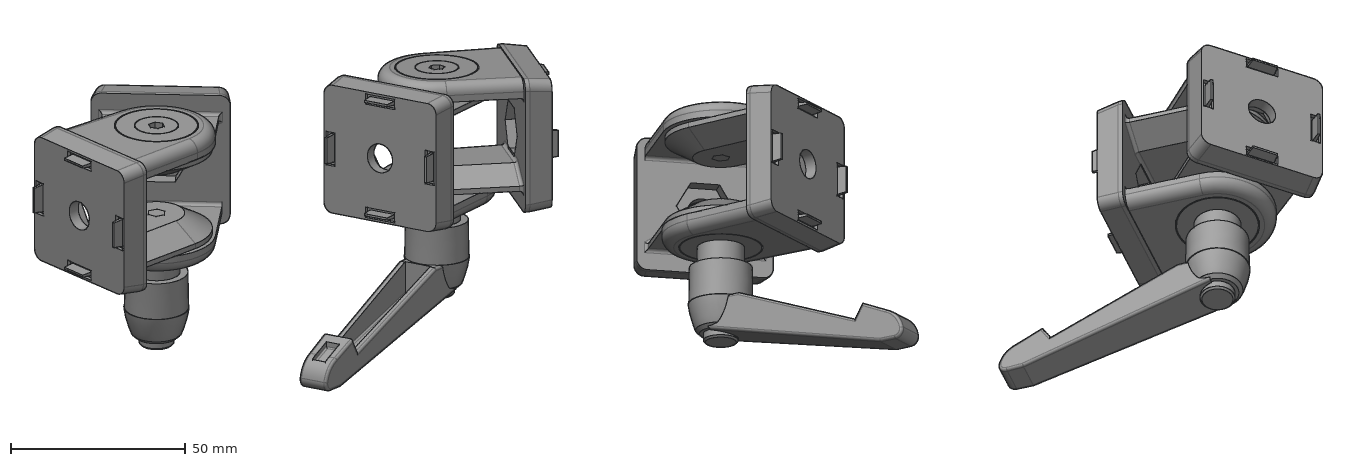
import cadquery as cq
import math

fold_angle = 225.0
lever_angle = fold_angle - 90.0

plate_size = 40.0
plate_inner_y = -21.8
plate_outer_y = -29.8
plate_lip = 1.3
plate_draft = 6.8
plate_corner_radius = 3.0
plate_hole_radius = 4.3
nut_pocket_circumradius = 8.4
nut_pocket_depth = 4.5

tab_offset = 17.0
tab_pocket_length = 10.0
tab_pocket_width = 3.1
tab_pocket_depth = 1.2
tab_root_length = 8.4
tab_root_width = 1.1
tab_tip_length = 7.8
tab_tip_width = 0.65
tab_reach = 2.2

arm_radius = 16.9
arm_flare = 2.0
arm_top_z = 19.7
arm_bottom_z = 14.25
arm_edge_radius = 3.4
root_fillet = 1.05
margin = 0.1

inner_radius = 16.0
inner_flat_radius = 8.1
inner_back_z = 13.8
inner_shoulder_z = 12.3
inner_face_z = 7.6

recess_radius = 12.05
recess_depth = 2.4
cap_radius = 11.7
cap_bore_radius = 6.3
head_radius = 6.15
shank_radius = 3.2
tip_hex_circumradius = 2.7
socket_circumradius = 2.35
socket_depth = 3.2
hex_angle = fold_angle - lever_angle
column_radius = 6.8

hub_top_z = -25.9
hub_top_radius = 9.1
hub_rim_z = -36.9
hub_neck_radius = 9.2
hub_rim_radius = 9.4
hub_bulge = (8.65, -40.7)
hub_low = (7.3, -44.75)
hub_bottom = (6.15, -45.8)
button_radius = 5.0
button_height = 2.6
button_chamfer = 0.6

grip_half_width = 6.6
grip_taper = 0.031
grip_tip = (65.0, -57.5)
grip_top_start = (10.1, hub_rim_z)
notch_foot = (49.0, -52.1)
block_top = (51.55, -47.75)
block_shoulder = (59.8, -51.4)
nose_bulge = (63.45, -54.1)
nose_bottom = (62.5, -60.5)
grip_bottom_bend = (57.5, -60.5)
grip_bottom_start = (0.0, -46.1)
grip_edge_radius = 0.8

channel_start = 9.7
channel_end = 50.7
channel_wall = 2.0
channel_floor = 2.1
block_pocket_start = 54.4
block_pocket_end = 61.75
block_pocket_width = 4.45
block_pocket_depth = 1.8
floor_radius = 0.5


def hexagon(circumradius, angle, z_low, z_high):
    """Hexagonal prism on the hinge axis with a corner at the given angle."""
    prism = cq.Workplane("XY").workplane(offset=z_low)
    prism = prism.polygon(6, 2 * circumradius).extrude(z_high - z_low)
    return prism.rotate((0, 0, 0), (0, 0, 1), angle)


def cylinder(radius, z_low, z_high):
    return cq.Workplane("XY").workplane(offset=z_low).circle(radius).extrude(z_high - z_low)


def to_folded_pose(body):
    """Flip a body end for end on the hinge axis and turn it to the folded side."""
    flipped = body.rotate((0, 0, 0), (0, 1, 0), 180)
    return flipped.rotate((0, 0, 0), (0, 0, 1), fold_angle)


def rounded_square(size):
    return cq.Sketch().rect(size, size).vertices().fillet(plate_corner_radius)


def base_plate():
    """Square plate with a straight rim, then drafted sides of constant corner radius."""
    draft_length = plate_inner_y - plate_lip - plate_outer_y
    outer_size = plate_size - 2 * draft_length * math.tan(math.radians(plate_draft))
    rim = cq.Workplane("XZ", origin=(0, plate_inner_y, 0)).placeSketch(rounded_square(plate_size))
    drafted = cq.Workplane("XZ", origin=(0, plate_inner_y - plate_lip, 0)).placeSketch(
        rounded_square(plate_size),
        rounded_square(outer_size).moved(cq.Location(cq.Vector(0, 0, draft_length))),
    )
    return rim.extrude(plate_lip).union(drafted.loft())


def spring_tab():
    """Tapered tab on the +Z side, rooted in the floor of its pocket."""
    height = tab_pocket_depth + tab_reach
    return (
        cq.Workplane("XZ", origin=(0, plate_outer_y + tab_pocket_depth, tab_offset))
        .rect(tab_root_length, tab_root_width)
        .workplane(offset=height)
        .rect(tab_tip_length, tab_tip_width)
        .loft()
    )


def tab_pocket():
    return (
        cq.Workplane("XZ", origin=(0, plate_outer_y + tab_pocket_depth, tab_offset))
        .rect(tab_pocket_length, tab_pocket_width)
        .extrude(tab_pocket_depth)
    )


def arm_outline(radius, z):
    """Round-ended strip from the hinge axis to the plate, widening slightly on the way."""
    flare = math.radians(arm_flare)
    tangent_x = radius * math.cos(flare)
    tangent_y = radius * math.sin(flare)
    root_x = tangent_x + (tangent_y - plate_inner_y) * math.tan(flare)
    return (
        cq.Workplane("XY").workplane(offset=z)
        .moveTo(-root_x, plate_inner_y)
        .lineTo(-tangent_x, tangent_y)
        .threePointArc((0, radius), (tangent_x, tangent_y))
        .lineTo(root_x, plate_inner_y)
        .close()
    )


def outer_arm():
    """Round-ended arm with a rounded outer edge."""
    arm = arm_outline(arm_radius, arm_bottom_z).extrude(arm_top_z - arm_bottom_z)
    return arm.edges(">Z").edges("not <Y").fillet(arm_edge_radius)


def inner_arm():
    """Flat arm whose inner side narrows to a smaller round-ended face."""
    rim = arm_outline(inner_radius, -inner_back_z).extrude(inner_back_z - inner_shoulder_z)
    shoulder_wires = [
        arm_outline(inner_radius, -inner_shoulder_z).val(),
        arm_outline(inner_flat_radius, -inner_face_z).val(),
    ]
    return rim.union(cq.Workplane(cq.Solid.makeLoft(shoulder_wires, True)))


def root_edges(low_z, high_z):
    """Edges where an arm within a height range meets the plate; the plate's rim lies further out."""
    reach = plate_size / 2 - margin
    return cq.selectors.BoxSelector(
        (-reach, plate_inner_y - margin, low_z - margin),
        (reach, plate_inner_y + margin, high_z + margin),
    )


def bracket():
    body = base_plate().union(outer_arm()).union(inner_arm())
    body = body.edges(root_edges(-inner_back_z, -inner_face_z)).fillet(root_fillet)
    body = body.edges(root_edges(arm_bottom_z, arm_bottom_z)).fillet(root_fillet)
    plate_hole = (
        cq.Workplane("XZ", origin=(0, plate_inner_y, 0))
        .circle(plate_hole_radius)
        .extrude(plate_inner_y - plate_outer_y)
    )
    nut_pocket = (
        cq.Workplane("XZ", origin=(0, plate_inner_y, 0))
        .polygon(6, 2 * nut_pocket_circumradius)
        .extrude(nut_pocket_depth)
    )
    body = body.cut(plate_hole).cut(nut_pocket)
    for turn in range(4):
        angle = 90 * turn
        body = body.cut(tab_pocket().rotate((0, 0, 0), (0, 1, 0), angle))
        body = body.union(spring_tab().rotate((0, 0, 0), (0, 1, 0), angle))
    body = body.cut(cylinder(recess_radius, arm_top_z - recess_depth, arm_top_z))
    body = body.cut(cylinder(shank_radius, arm_bottom_z, arm_top_z))
    return body.cut(hexagon(tip_hex_circumradius, lever_angle, -inner_back_z, -inner_face_z))


def clamp_shank():
    """Round shank through an outer arm, ending in a hexagon flush with the inner arm."""
    shank = cylinder(shank_radius, inner_back_z, arm_top_z - recess_depth)
    tip = hexagon(tip_hex_circumradius, hex_angle, inner_face_z, inner_back_z)
    return shank.union(tip)


def cap():
    seat_z = arm_top_z - recess_depth
    return cylinder(cap_radius, seat_z, arm_top_z).cut(cylinder(cap_bore_radius, seat_z, arm_top_z))


def screw():
    head = cylinder(head_radius, arm_top_z - recess_depth, arm_top_z)
    socket = hexagon(socket_circumradius, hex_angle, arm_top_z - socket_depth, arm_top_z)
    return clamp_shank().union(head).cut(socket)


def stud():
    """Clamp stud with a flange in the bracket recess and a column carrying the lever."""
    flange = cylinder(cap_radius, arm_top_z - recess_depth, arm_top_z)
    column = cylinder(column_radius, arm_top_z, -hub_top_z)
    return to_folded_pose(clamp_shank().union(flange).union(column))


def hub():
    return (
        cq.Workplane("XZ")
        .moveTo(0, hub_top_z)
        .lineTo(hub_top_radius, hub_top_z)
        .lineTo(hub_neck_radius, hub_rim_z)
        .lineTo(hub_rim_radius, hub_rim_z)
        .threePointArc(hub_bulge, hub_low)
        .lineTo(*hub_bottom)
        .lineTo(0, hub_bottom[1])
        .close()
        .revolve(360, (0, 0), (0, 1))
    )


def tapered_plan(inset, start, end):
    """Tall block following the tapering sides of the grip, moved in by an inset."""
    def side(reach):
        return grip_half_width - inset - grip_taper * reach

    return (
        cq.Workplane("XY").workplane(offset=2 * grip_tip[1])
        .polyline([(start, -side(start)), (end, -side(end)), (end, side(end)), (start, side(start))])
        .close()
        .extrude(-2 * grip_tip[1])
    )


def grip():
    side_profile = (
        cq.Workplane("XZ")
        .moveTo(0, hub_rim_z)
        .lineTo(*grip_top_start)
        .lineTo(*notch_foot)
        .lineTo(*block_top)
        .lineTo(*block_shoulder)
        .threePointArc(nose_bulge, grip_tip)
        .tangentArcPoint(nose_bottom, relative=False)
        .lineTo(*grip_bottom_bend)
        .lineTo(*grip_bottom_start)
        .close()
        .extrude(grip_half_width, both=True)
    )
    body = side_profile.intersect(tapered_plan(0, 0, grip_tip[0] + 0.8))
    return body.faces(">Y or <Y").edges("not <X").fillet(grip_edge_radius)


def channel():
    """Trough along the top of the grip, with its floor parallel to the underside."""
    slope = (grip_bottom_bend[1] - grip_bottom_start[1]) / grip_bottom_bend[0]

    def floor_z(reach):
        return grip_bottom_start[1] + channel_floor + slope * reach

    above_floor = (
        cq.Workplane("XZ")
        .polyline([
            (channel_start, floor_z(channel_start)),
            (channel_end, floor_z(channel_end)),
            (channel_end, 0),
            (channel_start, 0),
        ])
        .close()
        .extrude(grip_half_width, both=True)
    )
    trough = above_floor.intersect(tapered_plan(channel_wall, channel_start, channel_end))
    return trough.faces("<Z").edges().fillet(floor_radius)


def block_pocket():
    """Shallow pocket in the raised end of the grip, parallel to its sloping top."""
    slope = (block_shoulder[1] - block_top[1]) / (block_shoulder[0] - block_top[0])

    def floor_z(reach):
        return block_top[1] - block_pocket_depth + slope * (reach - block_top[0])

    return (
        cq.Workplane("XZ")
        .polyline([
            (block_pocket_start, floor_z(block_pocket_start)),
            (block_pocket_end, floor_z(block_pocket_end)),
            (block_pocket_end, hub_rim_z),
            (block_pocket_start, hub_rim_z),
        ])
        .close()
        .extrude(block_pocket_width / 2, both=True)
        .faces("<Z").edges().fillet(floor_radius)
    )


def lever():
    button_seat = cylinder(button_radius, 2 * hub_bottom[1], hub_bottom[1])
    body = grip().cut(channel()).cut(block_pocket()).union(hub()).cut(button_seat)
    return body.rotate((0, 0, 0), (0, 0, 1), lever_angle)


def button():
    low_z = hub_bottom[1] - button_height
    return cylinder(button_radius, low_z, hub_bottom[1]).faces("<Z").edges().chamfer(button_chamfer)


result = cq.Compound.makeCompound([
    bracket().val(),
    to_folded_pose(bracket()).val(),
    cap().val(),
    screw().val(),
    stud().val(),
    lever().val(),
    button().val(),
])